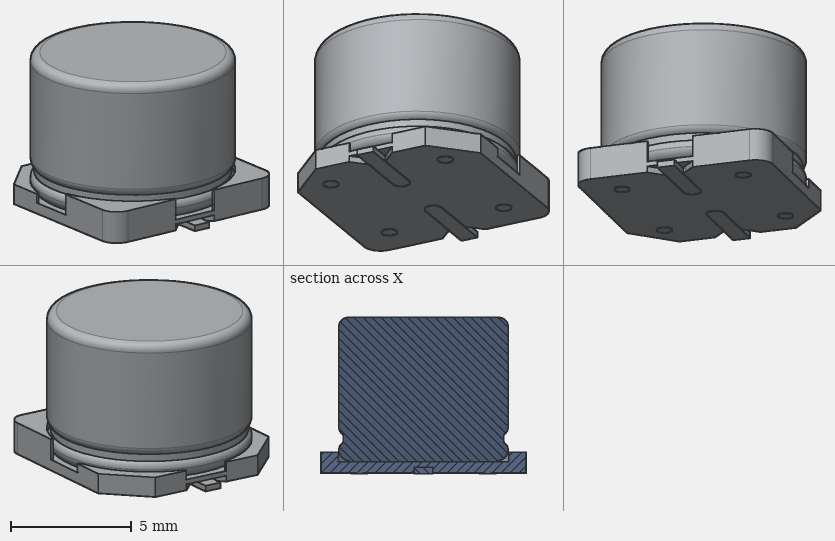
import cadquery as cq
import math

base_side = 8.5
base_bottom = 0.03
low_top = 0.89
high_top = 1.4
corner_chamfer = 1.7
corner_radius = 0.76
recess_floor = 0.5
notch_width = 1.995
notch_half = notch_width / 2
base_half = base_side / 2

foot_diameter = 0.66
foot_offset = 2.66

channel_top = 0.29
channel_half = 0.49
mouth_angle = 45.0

overall_length = 9.5
lead_width = 0.75
lead_thickness = 0.26
lead_angles = (0, 180)
lead_inner_end = 1.1

can_diameter = base_side
can_top = 6.5
groove_diameter = 8.2
groove_bottom = 1.3
groove_top = 1.615
bead_height = 0.31
can_top_radius = 0.39
can_bottom_radius = 0.475


def box(x_min, x_max, width, z_min, z_max):
    """Block centred on Y between the given X and Z limits."""
    return (
        cq.Workplane("XY", origin=((x_min + x_max) / 2, 0, z_min))
        .rect(x_max - x_min, width)
        .extrude(z_max - z_min)
    )


def make_channel():
    """Recess on the +X side: tapered mouth whose walls run tangent into an arc."""
    taper_end = base_half - (notch_half - channel_half) / math.tan(math.radians(mouth_angle))
    inner_end = taper_end - channel_half * math.tan(math.radians(mouth_angle / 2))
    return (
        cq.Workplane("XY")
        .moveTo(base_half, -notch_half)
        .lineTo(base_half, notch_half)
        .lineTo(taper_end, channel_half)
        .threePointArc((inner_end, 0), (taper_end, -channel_half))
        .close()
        .extrude(channel_top)
    )


def make_lead(angle):
    """Flat lead with a full-round inner end, turned about Z to its side."""
    half_width = lead_width / 2
    round_centre = lead_inner_end + half_width
    lead = box(round_centre, overall_length / 2, lead_width, 0, lead_thickness)
    inner_end = cq.Workplane("XY").center(round_centre, 0).circle(half_width).extrude(lead_thickness)
    return lead.union(inner_end).rotate((0, 0, 0), (0, 0, 1), angle)


def make_base():
    base = box(-base_half, base_half, base_side, base_bottom, high_top)
    base = base.edges("|Z and <X").chamfer(corner_chamfer)
    base = base.edges("|Z and >X").fillet(corner_radius)

    base = base.cut(box(-base_half, notch_half, base_side, low_top, high_top))

    seat = cq.Workplane("XY", origin=(0, 0, recess_floor)).circle(can_diameter / 2).extrude(high_top)
    base = base.cut(seat)
    notch = box(-base_half, base_half, notch_width, recess_floor, high_top)
    for angle in (0, 90):
        base = base.cut(notch.rotate((0, 0, 0), (0, 0, 1), angle))

    for angle in lead_angles:
        base = base.cut(make_channel().rotate((0, 0, 0), (0, 0, 1), angle))
        base = base.cut(make_lead(angle))

    feet = (
        cq.Workplane("XY")
        .rect(2 * foot_offset, 2 * foot_offset, forConstruction=True)
        .vertices()
        .circle(foot_diameter / 2)
        .extrude(base_bottom)
    )
    return base.union(feet)


def make_can():
    """Revolved can with a rounded rim, a beaded groove and a rounded bottom edge."""
    radius = can_diameter / 2
    groove_radius = groove_diameter / 2
    groove_depth = radius - groove_radius
    bead_radius = (groove_depth**2 + bead_height**2) / (2 * groove_depth)
    half_height = bead_height / 2
    bead_mid = radius - bead_radius + math.sqrt(bead_radius**2 - half_height**2)
    lower_bead = groove_bottom - bead_height
    upper_bead = groove_top + bead_height
    diagonal = 1 - math.sqrt(0.5)
    bottom_inset = can_bottom_radius * diagonal
    top_inset = can_top_radius * diagonal
    bottom_tangent = recess_floor + can_bottom_radius
    top_tangent = can_top - can_top_radius
    return (
        cq.Workplane("XZ")
        .moveTo(0, recess_floor)
        .lineTo(radius - can_bottom_radius, recess_floor)
        .threePointArc((radius - bottom_inset, recess_floor + bottom_inset), (radius, bottom_tangent))
        .lineTo(radius, lower_bead)
        .threePointArc((bead_mid, lower_bead + half_height), (groove_radius, groove_bottom))
        .lineTo(groove_radius, groove_top)
        .threePointArc((bead_mid, upper_bead - half_height), (radius, upper_bead))
        .lineTo(radius, top_tangent)
        .threePointArc((radius - top_inset, can_top - top_inset), (radius - can_top_radius, can_top))
        .lineTo(0, can_top)
        .close()
        .revolve(360, (0, 0, 0), (0, 1, 0))
    )


base = make_base()
can = make_can()
leads = [make_lead(angle) for angle in lead_angles]

result = cq.Compound.makeCompound([base.solids().val(), can.val(), *[lead.solids().val() for lead in leads]])